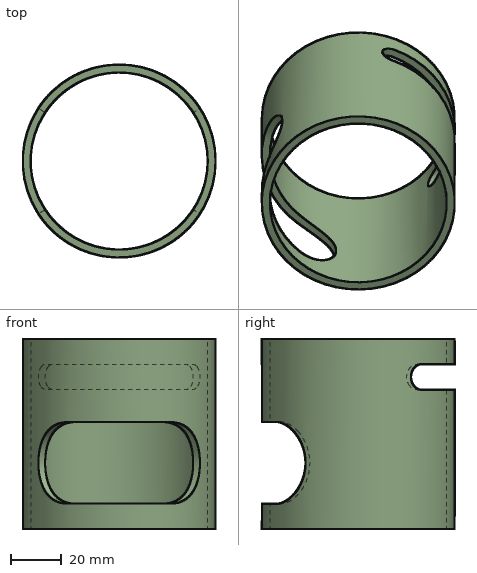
import cadquery as cq
import math

outer_diameter = 76.2
wall = 3.2
height = 75.0
outer_radius = outer_diameter / 2

window_half_angle = 56.8
front_bottom = 10.0
front_height = 32.2
rear_bottom = 55.0
rear_height = 10.0

overlap_angle = 5.0
cut_length = outer_diameter


def half_window(bottom, window_height):
    """Cutter for the +X half of a window on the -Y side, with a fully rounded radial end."""
    angle = math.radians(window_half_angle)
    end_radius = window_height / 2
    reach = outer_radius * math.sin(angle + math.radians(overlap_angle))
    plane = cq.Plane(
        origin=(0, 0, bottom + end_radius),
        xDir=(-math.cos(angle), -math.sin(angle), 0),
        normal=(math.sin(angle), -math.cos(angle), 0),
    )
    return (
        cq.Workplane(plane)
        .moveTo(end_radius, -end_radius)
        .lineTo(reach, -end_radius)
        .lineTo(reach, end_radius)
        .lineTo(end_radius, end_radius)
        .threePointArc((0, 0), (end_radius, -end_radius))
        .close()
        .extrude(cut_length)
    )


def window(bottom, window_height):
    """Complete cutter for a window on the -Y side, symmetric about the YZ plane."""
    half = half_window(bottom, window_height)
    return half.union(half.mirror("YZ"))


tube = cq.Workplane("XY").circle(outer_radius).circle(outer_radius - wall).extrude(height)
front_window = window(front_bottom, front_height)
rear_window = window(rear_bottom, rear_height).mirror("XZ")

result = tube.cut(front_window).cut(rear_window)